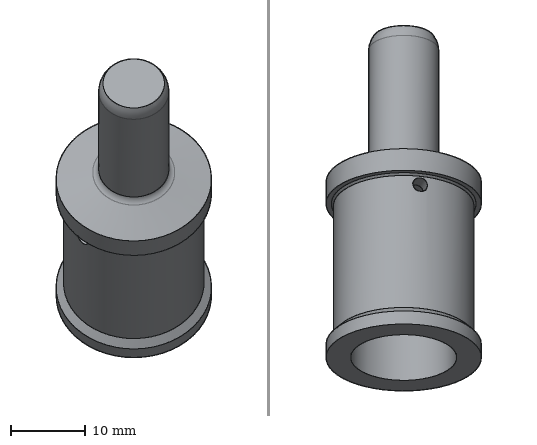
import cadquery as cq

total_height = 47.7
flange_radius = 21.0 / 2
body_radius = 19.0 / 2
pin_radius = 9.5 / 2

rim_height = 1.95
rim_chamfer = flange_radius - body_radius
flange_bottom = 23.0
flange_top = 26.25

flare_radius = 9.8
flare_height = 0.3

cone_radius = 5.55
cone_top = 27.7
pin_bottom = 28.5

tip_height = 1.75
tip_radius = 4.15

bore_radius = 7.15
bore_depth = flange_bottom
vent_radius = 1.0
vent_height = 21.45

half_section = (
    cq.Workplane("XZ")
    .lineTo(flange_radius, 0)
    .lineTo(flange_radius, rim_height)
    .lineTo(body_radius, rim_height + rim_chamfer)
    .lineTo(body_radius, flange_bottom - flare_height)
    .lineTo(flare_radius, flange_bottom)
    .lineTo(flange_radius, flange_bottom)
    .lineTo(flange_radius, flange_top)
    .lineTo(cone_radius, cone_top)
    .tangentArcPoint((pin_radius, pin_bottom), relative=False)
    .lineTo(pin_radius, total_height - tip_height)
    .tangentArcPoint((tip_radius, total_height), relative=False)
    .lineTo(0, total_height)
    .close()
)
body = half_section.revolve(360, (0, 0, 0), (0, 1, 0))

bore = cq.Workplane("XY").circle(bore_radius).extrude(bore_depth)

vent = cq.Workplane("XZ", origin=(0, 0, vent_height)).circle(vent_radius).extrude(flange_radius)

result = body.cut(bore).cut(vent)